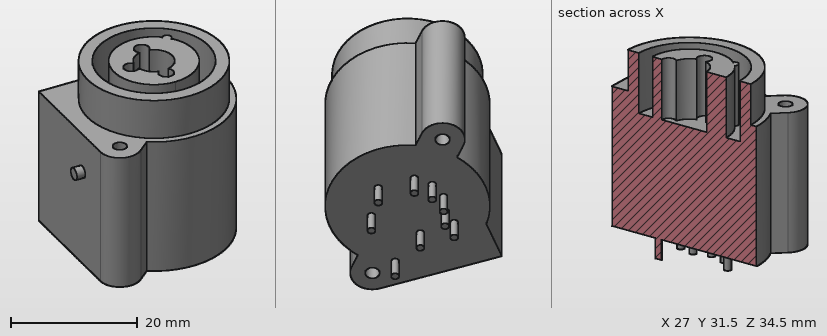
import cadquery as cq
import math

pin_length = 3.5
body_height = 24.0
collar_height = 7.0
body_top = pin_length + body_height
part_top = body_top + collar_height

body_radius = 13.0
ear_radius = 3.52
ear_x = 9.97
ear_y = 11.5
screw_hole_radius = 1.15
front_y = -(ear_y + ear_radius)
corner_x = -10.45

collar_radius = 11.9
bore_radius = 9.73
core_radius = 7.15
key_radius = 0.75
key_angle = 135
jack_hole_radius = 3.28
contact_hole_radius = 1.25
contact_offset = 4.07
contact_angles = (0, 180, 270)
socket_depth = 10.35

peg_radius = 1.05
peg_length = 1.5
peg_x = 4.0
peg_z = 20.53

pin_radius = 0.62
pin_ring_radius = 6.05
pin_ring_angles = (0, 60, 120, 150, 180, 210, 270)
outer_pins = ((-5.75, -5.75), (5.75, -10.4))


def polar(radius, angle):
    """Point at the given radius and angle in degrees about the socket axis."""
    return (radius * math.cos(math.radians(angle)), radius * math.sin(math.radians(angle)))


def cylinder(radius, bottom, height, centre=(0, 0)):
    """Upright cylinder standing on the height `bottom`."""
    return cq.Workplane("XY", origin=(*centre, bottom)).circle(radius).extrude(height)


def make_body():
    """Round housing with a diagonal pair of ears and a square front corner."""
    ear_centres = ((-ear_x, ear_y), (ear_x, -ear_y))
    ear_span = 2 * math.hypot(ear_x, ear_y)
    ear_direction = math.degrees(math.atan2(-ear_y, ear_x))
    base = cq.Workplane("XY", origin=(0, 0, pin_length))

    body = cylinder(body_radius, pin_length, body_height)
    ears = base.slot2D(ear_span + 2 * ear_radius, 2 * ear_radius, ear_direction).extrude(body_height)
    corner_points = ((corner_x, 0), (corner_x, front_y), (ear_x, front_y), (ear_x, -ear_y), (0, 0))
    corner = base.polyline(corner_points).close().extrude(body_height)
    screw_holes = base.pushPoints(ear_centres).circle(screw_hole_radius).extrude(body_height)
    return body.union(ears).union(corner).cut(screw_holes)


def make_groove():
    """Ring-shaped groove around the keyed core."""
    floor = part_top - socket_depth
    ring = cylinder(bore_radius, floor, socket_depth)
    core = cylinder(core_radius, floor, socket_depth)
    key = cylinder(key_radius, floor, socket_depth, polar(core_radius, key_angle))
    return ring.cut(core).cut(key)


def make_socket_hole():
    """Blind jack hole with three overlapping contact holes."""
    floor = part_top - socket_depth
    hole = cylinder(jack_hole_radius, floor, socket_depth)
    for angle in contact_angles:
        centre = polar(contact_offset, angle)
        hole = hole.union(cylinder(contact_hole_radius, floor, socket_depth, centre))
    return hole


def make_peg():
    """Round peg standing out of the front face."""
    front_plane = cq.Workplane("XZ", origin=(peg_x, front_y, peg_z))
    return front_plane.circle(peg_radius).extrude(peg_length)


def make_pins():
    """Contact pins below the housing."""
    ring_pins = [polar(pin_ring_radius, angle) for angle in pin_ring_angles]
    plane = cq.Workplane("XY")
    return plane.pushPoints(ring_pins + list(outer_pins)).circle(pin_radius).extrude(pin_length)


collar = cylinder(collar_radius, body_top, collar_height)
housing = make_body().union(collar).cut(make_groove()).cut(make_socket_hole())
result = housing.union(make_peg()).union(make_pins())